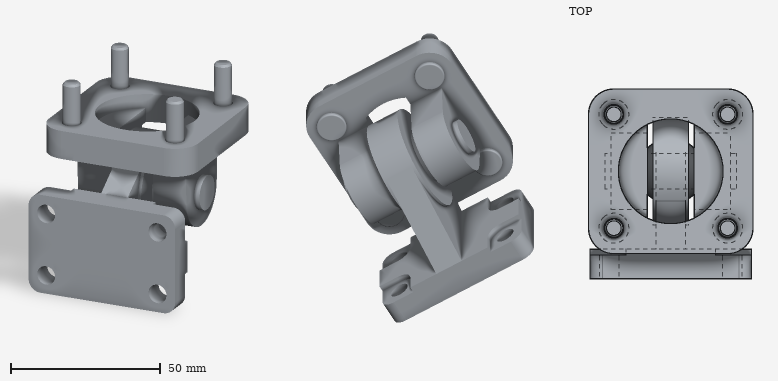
import cadquery as cq
import math

OVERALL_HEIGHT = 70.0

BOLT_DIAMETER = 6.0
BOLT_HOLE_DIAMETER = 6.6
BOLT_HEAD_DIAMETER = 10.0
BOLT_HEAD_HEIGHT = 1.5
BOLT_HEAD_FILLET = 0.5
BOLT_SPACING = 38.0
BOLT_PROJECTION = 14.5
BOLT_TIP_CHAMFER = 0.55
BOLT_TIP_CHAMFER_HEIGHT = 0.8

FLANGE_SIDE = 55.0
FLANGE_THICKNESS = 10.0
BORE_DIAMETER = 35.0
BORE_DEPTH = 5.0
LUG_GAP = 15.7
LUG_OUTER_WIDTH = 40.0
LUG_RADIUS = 12.0
LUG_TOP_HALF_WIDTH = 12.75
PIN_DIAMETER = 12.0
PIN_LENGTH = 44.0
PIVOT_DROP = 15.0

FOOT_WIDTH = 54.0
FOOT_HEIGHT = 35.0
FOOT_THICKNESS = 10.0
FOOT_FRONT_Y = -36.0
FOOT_CORNER_RADIUS = 4.3
FOOT_HOLE_DIAMETER = 6.6
FOOT_HOLE_SPACING_X = 41.0
FOOT_HOLE_SPACING_Z = 22.0
RECESS_SIDE = 12.0
RECESS_CORNER_RADIUS = 5.0
RECESS_DEPTH = 2.0
EYE_DIAMETER = 36.0
EYE_WIDTH = 12.0
WEB_WIDTH = 9.8
WEB_TOP_START = 10.0
BALL_RADIUS = 11.0

flange_top = OVERALL_HEIGHT - BOLT_PROJECTION
flange_bottom = flange_top - FLANGE_THICKNESS
pivot_z = flange_bottom - PIVOT_DROP
flange_corner_radius = (FLANGE_SIDE - BOLT_SPACING) / 2
foot_back_y = FOOT_FRONT_Y + FOOT_THICKNESS
foot_centre_z = FOOT_HEIGHT / 2
eye_radius = EYE_DIAMETER / 2


def x_cylinder(diameter, length):
    """Cylinder on the pivot axis, centred on X = 0."""
    return (
        cq.Workplane("YZ", origin=(0, 0, pivot_z))
        .circle(diameter / 2)
        .extrude(length / 2, both=True)
    )


def tangent_point(y, z, radius, side):
    """Where a line from (y, z), relative to the pivot, touches a circle about the pivot."""
    angle = math.atan2(z, y) + side * math.acos(radius / math.hypot(y, z))
    return radius * math.cos(angle), pivot_z + radius * math.sin(angle)


def make_flange():
    """Rounded square plate with bolt holes and a blind bore that a slot opens between the lugs."""
    flange = (
        cq.Workplane("XY", origin=(0, 0, flange_bottom))
        .rect(FLANGE_SIDE, FLANGE_SIDE)
        .extrude(FLANGE_THICKNESS)
        .edges("|Z")
        .fillet(flange_corner_radius)
        .faces(">Z")
        .workplane()
        .rect(BOLT_SPACING, BOLT_SPACING, forConstruction=True)
        .vertices()
        .hole(BOLT_HOLE_DIAMETER)
    )
    bore = (
        cq.Workplane("XY", origin=(0, 0, flange_top - BORE_DEPTH))
        .circle(BORE_DIAMETER / 2)
        .extrude(BORE_DEPTH)
    )
    slot_sides = (
        cq.Workplane("XY", origin=(0, 0, flange_bottom))
        .rect(LUG_GAP, FLANGE_SIDE)
        .extrude(FLANGE_THICKNESS)
    )
    slot = (
        cq.Workplane("XY", origin=(0, 0, flange_bottom))
        .circle(BORE_DIAMETER / 2)
        .extrude(FLANGE_THICKNESS)
        .intersect(slot_sides)
    )
    return flange.cut(bore).cut(slot)


def make_bolt():
    """Bolt on the Z axis: head under the flange, chamfered tip at the overall height."""
    head = (
        cq.Workplane("XY", origin=(0, 0, flange_bottom - BOLT_HEAD_HEIGHT))
        .circle(BOLT_HEAD_DIAMETER / 2)
        .extrude(BOLT_HEAD_HEIGHT)
        .faces("<Z")
        .edges()
        .fillet(BOLT_HEAD_FILLET)
    )
    shank = (
        cq.Workplane("XY", origin=(0, 0, flange_bottom))
        .circle(BOLT_DIAMETER / 2)
        .extrude(OVERALL_HEIGHT - flange_bottom)
        .faces(">Z")
        .chamfer(BOLT_TIP_CHAMFER_HEIGHT, BOLT_TIP_CHAMFER)
    )
    return head.union(shank)


def make_lugs():
    """Two tapering lugs with round lower ends about the pivot."""
    tangent_y, tangent_z = tangent_point(LUG_TOP_HALF_WIDTH, PIVOT_DROP, LUG_RADIUS, -1)
    lugs = (
        cq.Workplane("YZ")
        .moveTo(-LUG_TOP_HALF_WIDTH, flange_bottom)
        .lineTo(-tangent_y, tangent_z)
        .threePointArc((0, pivot_z - LUG_RADIUS), (tangent_y, tangent_z))
        .lineTo(LUG_TOP_HALF_WIDTH, flange_bottom)
        .close()
        .extrude(LUG_OUTER_WIDTH / 2, both=True)
    )
    gap = cq.Workplane("XY", origin=(0, 0, pivot_z)).box(LUG_GAP, FLANGE_SIDE, 2 * PIVOT_DROP)
    return lugs.cut(gap)


def make_fork():
    """Flange, lugs, pin and the four bolts as one body."""
    fork = make_flange().union(make_lugs()).union(x_cylinder(PIN_DIAMETER, PIN_LENGTH))
    bolt = make_bolt()
    for side_x in (-1, 1):
        for side_y in (-1, 1):
            place = (side_x * BOLT_SPACING / 2, side_y * BOLT_SPACING / 2, 0)
            fork = fork.union(bolt.translate(place))
    return fork


def make_foot_plate():
    """Upright plate with four holes, each in a corner recess on the back face."""
    plate = (
        cq.Workplane("XZ", origin=(0, foot_back_y, foot_centre_z))
        .rect(FOOT_WIDTH, FOOT_HEIGHT)
        .extrude(FOOT_THICKNESS)
        .edges("|Y")
        .fillet(FOOT_CORNER_RADIUS)
    )
    holes = (
        cq.Workplane("XZ", origin=(0, foot_back_y, foot_centre_z))
        .rect(FOOT_HOLE_SPACING_X, FOOT_HOLE_SPACING_Z, forConstruction=True)
        .vertices()
        .circle(FOOT_HOLE_DIAMETER / 2)
        .extrude(FOOT_THICKNESS)
    )
    plate = plate.cut(holes)
    for side_x in (-1, 1):
        for side_z in (-1, 1):
            plate = plate.cut(make_corner_recess(side_x, side_z))
    return plate


def make_corner_recess(side_x, side_z):
    """Square recess in one back corner, round on its inner corner, around a foot hole."""
    middle_x = side_x * (FOOT_WIDTH - RECESS_SIDE) / 2
    middle_z = side_z * (FOOT_HEIGHT - RECESS_SIDE) / 2
    inner_corner = cq.selectors.NearestToPointSelector((0, foot_back_y, foot_centre_z))
    return (
        cq.Workplane("XZ", origin=(0, foot_back_y, foot_centre_z))
        .center(middle_x, middle_z)
        .rect(RECESS_SIDE, RECESS_SIDE)
        .extrude(RECESS_DEPTH)
        .edges("|Y")
        .edges(inner_corner)
        .fillet(RECESS_CORNER_RADIUS)
    )


def make_web():
    """Web from the eye to the plate, its lower edge tangent to the eye."""
    web_top_z = pivot_z + math.sqrt(eye_radius**2 - WEB_TOP_START**2)
    lower_tangent = tangent_point(foot_back_y, -pivot_z, eye_radius, 1)
    return (
        cq.Workplane("YZ")
        .moveTo(0, pivot_z)
        .lineTo(-WEB_TOP_START, web_top_z)
        .lineTo(foot_back_y, FOOT_HEIGHT)
        .lineTo(foot_back_y, 0)
        .lineTo(*lower_tangent)
        .close()
        .extrude(WEB_WIDTH / 2, both=True)
    )


def make_ball():
    """Bearing ball, revolved about the pivot axis and cut flat where it meets the lugs."""
    half_width = LUG_GAP / 2
    flat_radius = math.sqrt(BALL_RADIUS**2 - half_width**2)
    return (
        cq.Workplane("XY", origin=(0, 0, pivot_z))
        .moveTo(-half_width, 0)
        .lineTo(-half_width, flat_radius)
        .threePointArc((0, BALL_RADIUS), (half_width, flat_radius))
        .lineTo(half_width, 0)
        .close()
        .revolve(360, (0, 0, 0), (1, 0, 0))
    )


def make_foot():
    """Plate, web, eye and ball as one body, bored for the pin."""
    foot = make_foot_plate().union(make_web()).union(x_cylinder(EYE_DIAMETER, EYE_WIDTH))
    return foot.union(make_ball()).cut(x_cylinder(PIN_DIAMETER, LUG_GAP))


fork = make_fork()
foot = make_foot()

result = cq.Compound.makeCompound([fork.val(), foot.val()])